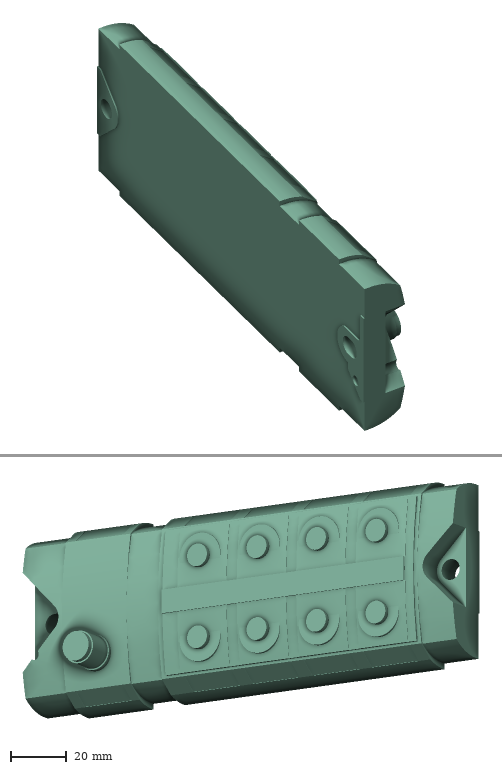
import cadquery as cq
import math

length = 181.5
overall_width = 68.0
wide_half = overall_width / 2
narrow_half = 32.0
base_edge = 1.5
crown_half = 27.5
crown_top = 18.5
narrow_shoulder = 15.0
wide_shoulder = 15.8
bevel_start = 9.6
bevel_half = 32.3
wide_sections = [(14.3, 123.6), (136.9, 164.0)]

label_width = 19.8
label_depth = 0.2
power_label_start = 140.1

port_pitch = 25.0
port_count = 4
first_port_x = 30.7
port_positions = [first_port_x + i * port_pitch for i in range(port_count)]
row_offset = 15.0
ring_radius = 8.5
ring_top = 18.7
cap_radius = 4.2
cap_top = 20.7
label_lead = 11.5

cover_start, cover_end = 15.8, 121.5
cover_half = 26.7
cover_edge = 16.9
cover_top = 19.0
tile_width = 20.7
tile_height = 0.2
bar_start = 19.5
bar_half = 4.4
bar_top = 19.6

plug_x = 150.5
plug_radius = 6.0
plug_shoulder = 29.0
plug_tip_radius = 5.5
plug_top = 31.2
flange_radius = 6.5
flange_top = 19.0

screw_x = 6.4
screw_radius = 3.8
slot_x = 172.2
slot_shift = 0.9
slot_end_x = slot_x - slot_shift
pin_x, pin_z, pin_radius = 176.2, -12.5, 2.0
notch_floor = 8.7
notch_radius = 5.8
pad_height = 0.5
pad_radius = 7.6
left_pad_half = 15.0
right_pad_half = 18.9
right_pad_rim = 179.3
right_pad_neck = 6.9
right_pad_step_x = 171.2
right_pad_fillet = 1.8

top_limit = 36.3
overshoot = 9.0
overlap = 1.8
sin45 = math.sqrt(0.5)


def plane_at_height(y):
    """Sketch plane at height y: local axes are X and Z, extrusion goes up."""
    return cq.Workplane(cq.Plane((0, y, 0), xDir=(1, 0, 0), normal=(0, 1, 0)))


def cylinder(x, z, radius, bottom, top):
    return plane_at_height(bottom).center(x, -z).circle(radius).extrude(top - bottom)


def section_plane(x):
    """Cross-section plane at x: local axes are Y and Z, extrusion goes along X."""
    return cq.Workplane("YZ", origin=(x, 0, 0))


def waist_body():
    side_mid = (8.9, 30.9)
    return (
        section_plane(0)
        .moveTo(0, -narrow_half)
        .lineTo(base_edge, -narrow_half)
        .threePointArc((side_mid[0], -side_mid[1]), (narrow_shoulder, -crown_half))
        .threePointArc((crown_top, 0), (narrow_shoulder, crown_half))
        .threePointArc(side_mid, (base_edge, narrow_half))
        .lineTo(0, narrow_half)
        .close()
        .extrude(length)
    )


def grip_section(start, end):
    side_mid = (5.6, 33.5)
    return (
        section_plane(start)
        .moveTo(0, -wide_half)
        .lineTo(base_edge, -wide_half)
        .threePointArc((side_mid[0], -side_mid[1]), (bevel_start, -bevel_half))
        .lineTo(wide_shoulder, -crown_half)
        .threePointArc((crown_top, 0), (wide_shoulder, crown_half))
        .lineTo(bevel_start, bevel_half)
        .threePointArc(side_mid, (base_edge, wide_half))
        .lineTo(0, wide_half)
        .close()
        .extrude(end - start)
    )


def label_recess(start, side):
    """Shallow recess over the full height of the bevel on one side (+1 or -1)."""
    rise = wide_shoulder - bevel_start
    run = bevel_half - crown_half
    bevel_length = math.hypot(rise, run)
    inward_y = -label_depth * run / bevel_length
    inward_z = -label_depth * rise / bevel_length
    corners = [
        (bevel_start, bevel_half),
        (wide_shoulder, crown_half),
        (wide_shoulder + inward_y, crown_half + inward_z),
        (bevel_start + inward_y, bevel_half + inward_z),
    ]
    outline = [(y, side * z) for y, z in corners]
    return section_plane(start).polyline(outline).close().extrude(label_width)


def arched_slab(start, end, bottom, edge, top):
    """Slab over both port rows with an upper face arched across the part."""
    return (
        section_plane(start)
        .moveTo(bottom, -cover_half)
        .lineTo(edge, -cover_half)
        .threePointArc((top, 0), (edge, cover_half))
        .lineTo(bottom, cover_half)
        .close()
        .extrude(end - start)
    )


def port_cover():
    cover_bottom = narrow_shoulder - overlap
    cover = arched_slab(cover_start, cover_end, cover_bottom, cover_edge, cover_top)
    for x in port_positions:
        tile_start = x - label_lead
        tile_end = tile_start + tile_width
        tile_edge = cover_edge + tile_height
        cover = cover.union(
            arched_slab(tile_start, tile_end, cover_bottom, tile_edge, cover_top + tile_height)
        )
    bar = cq.Workplane("XY").box(
        cover_end - bar_start, bar_top - cover_bottom, 2 * bar_half, centered=(False, False, True)
    ).translate((bar_start, cover_bottom, 0))
    return cover.union(bar)


def port(x, z):
    bottom = narrow_shoulder
    return cylinder(x, z, ring_radius, bottom, ring_top).union(cylinder(x, z, cap_radius, bottom, cap_top))


def power_plug():
    bottom = narrow_shoulder
    flange = cylinder(plug_x, -row_offset, flange_radius, bottom, flange_top)
    barrel = cylinder(plug_x, -row_offset, plug_radius, bottom, plug_shoulder)
    tip = cylinder(plug_x, -row_offset, plug_tip_radius, bottom, plug_top)
    return flange.union(barrel).union(tip)


def screw_notch(center_x, end_x):
    """V-shaped notch with a round root, opening at 45 degrees towards an end face."""
    outward = 1 if end_x > center_x else -1
    tangent = notch_radius * sin45
    tangent_x = center_x - outward * tangent
    mouth_x = end_x + outward * overshoot
    mouth_half = tangent + abs(mouth_x - tangent_x)
    return (
        plane_at_height(notch_floor)
        .moveTo(mouth_x, mouth_half)
        .lineTo(tangent_x, tangent)
        .threePointArc((center_x - outward * notch_radius, 0), (tangent_x, -tangent))
        .lineTo(mouth_x, -mouth_half)
        .close()
        .extrude(top_limit)
    )


def left_pad():
    tangent = pad_radius * sin45
    corner_x = screw_x + 2 * tangent - left_pad_half
    return (
        plane_at_height(-pad_height)
        .moveTo(0, left_pad_half)
        .lineTo(corner_x, left_pad_half)
        .lineTo(screw_x + tangent, tangent)
        .threePointArc((screw_x + pad_radius, 0), (screw_x + tangent, -tangent))
        .lineTo(corner_x, -left_pad_half)
        .lineTo(0, -left_pad_half)
        .close()
        .extrude(pad_height + overlap)
    )


def right_pad():
    neck_x = slot_end_x - math.sqrt(pad_radius**2 - right_pad_neck**2)
    step_z = math.sqrt(pad_radius**2 - (slot_end_x - right_pad_step_x) ** 2)
    slope_start = right_pad_half - (right_pad_rim - right_pad_step_x)
    fillet_start = right_pad_neck + right_pad_fillet
    fillet_center_x = right_pad_rim - right_pad_fillet
    fillet_mid = (
        fillet_center_x + right_pad_fillet * sin45,
        fillet_start - right_pad_fillet * sin45,
    )
    return (
        plane_at_height(-pad_height)
        .moveTo(length, -right_pad_half)
        .lineTo(right_pad_rim, -right_pad_half)
        .lineTo(right_pad_rim, -fillet_start)
        .threePointArc((fillet_mid[0], -fillet_mid[1]), (fillet_center_x, -right_pad_neck))
        .lineTo(neck_x, -right_pad_neck)
        .threePointArc((slot_end_x - pad_radius, 0), (right_pad_step_x, step_z))
        .lineTo(right_pad_step_x, slope_start)
        .lineTo(right_pad_rim, right_pad_half)
        .lineTo(length, right_pad_half)
        .close()
        .extrude(pad_height + overlap)
    )


def mounting_holes():
    slot_length = 2 * (slot_shift + screw_radius)
    slot = plane_at_height(-overlap).center(slot_x, 0).slot2D(slot_length, 2 * screw_radius).extrude(top_limit)
    screw = cylinder(screw_x, 0, screw_radius, -overlap, top_limit)
    pin = cylinder(pin_x, pin_z, pin_radius, -overlap, top_limit)
    return [screw, slot, pin]


result = waist_body()
for section_start, section_end in wide_sections:
    result = result.union(grip_section(section_start, section_end))
for label_start in [x - label_lead for x in port_positions] + [power_label_start]:
    for bevel_side in (1, -1):
        result = result.cut(label_recess(label_start, bevel_side))

result = result.union(port_cover())
for port_x in port_positions:
    for row_z in (row_offset, -row_offset):
        result = result.union(port(port_x, row_z))
result = result.union(power_plug())

result = result.cut(screw_notch(screw_x, 0)).cut(screw_notch(slot_end_x, length))
result = result.union(left_pad()).union(right_pad())
for hole in mounting_holes():
    result = result.cut(hole)